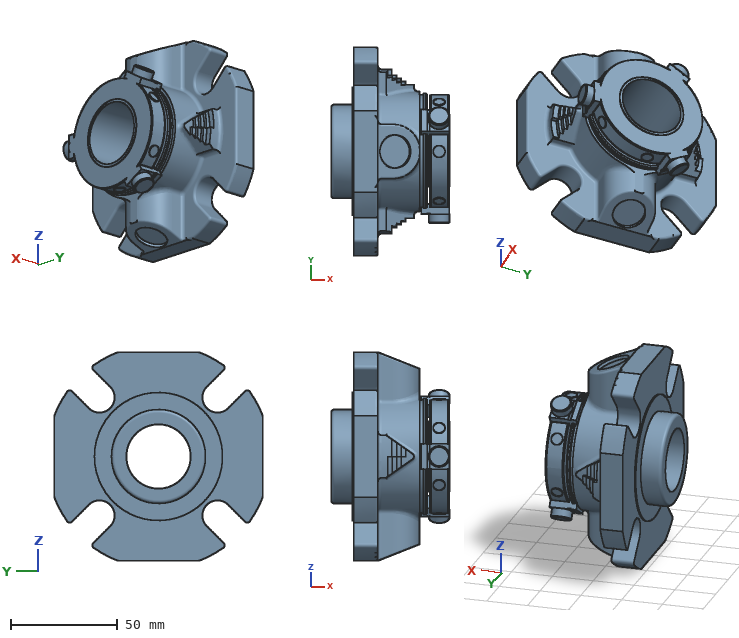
import cadquery as cq
import math


bore_dia = 30.0
sleeve_nose_dia = 44.1
sleeve_nose_round = 1.6
sleeve_groove_dia = 32.4
sleeve_shoulder_dia = 33.2
sleeve_end_dia = 32.8
sleeve_shoulder_x = 45.8
sleeve_end_x = 55.7

register_dia = 60.0
register_x = 10.0
flange_front_x = 10.6
flange_back_x = 22.0
flange_width = 97.8
flange_corner_dia = 105.0
flange_back_round = 1.2
slot_count = 4
slot_width = 14.1
slot_pitch_radius = 39.1
slot_tip_round = 1.5

body_dia = 56.3
body_end_x = 41.6
body_root_round = 1.8
boss_pair = 2

boss_width = 25.4
boss_arc_x = 29.0
boss_end_height = 41.2
boss_root_round = 2.7
boss_edge_round = 1.0
boss_foot_margin = 0.6
boss_foot_flare = 1.8
port_dia = 15.5
port_depth = 1.7
port_x = 30.1

arrow_half_width = 10.0
arrow_shoulder_x = 25.8
arrow_slope = 35.0
arrow_tip_round = 1.6
arrow_root_round = 1.9
arrow_crest_radius = 38.5
first_riser_x = 28.6
riser_pitch = 2.2
riser_count = 4
first_drop = 2.7
next_drop = 1.5
riser_shift = 2.1

spigot_dia = 53.2
ring_dia = 54.7
ring_edge_dia = 53.8
ring_front_x = 43.2
ring_back_x = 45.0
ring_front_bevel = 0.3
ring_back_bevel = 0.6

collar_dia = 53.2
collar_front_x = 46.4
collar_back_x = 55.4
collar_bevel_length = 0.7
collar_bevel_depth = 0.3
screw_count = 6
screw_dia = 5.6
screw_x = 50.7
screw_face_radius = 27.0

clip_count = 3
clip_front_x = 42.2
clip_width = 11.7
clip_inner_radius = 26.0
clip_outer_radius = 29.3
clip_groove_x = 45.1
clip_groove_depth = 0.4
clip_leg_radius = 24.5
clip_head_dia = 9.9
clip_head_radius = 33.5
clip_head_bevel = 0.5

half_width = flange_width / 2
body_start_x = flange_front_x + 1
boss_fall = (half_width - boss_end_height) / (body_end_x - flange_back_x)

tolerance = 0.01


def turned(points):
    """Solid of revolution about X from (x, diameter) points, closed along the axis."""
    profile = [(x, dia / 2) for x, dia in points]
    profile = [(profile[0][0], 0)] + profile + [(profile[-1][0], 0)]
    return cq.Workplane("XY").polyline(profile).close().revolve(360, (0, 0, 0), (1, 0, 0))


def around_axis(solid, count, start=0.0):
    """Copies of a solid spaced evenly about the X axis, joined together."""
    copies = cq.Workplane("XY")
    for index in range(count):
        angle = start + 360.0 * index / count
        copies = copies.add(solid.rotate((0, 0, 0), (1, 0, 0), angle))
    return copies.combine()


def block(x_range, y_range, width):
    """Box between two X and two Y positions, centred on Z = 0."""
    size_x = x_range[1] - x_range[0]
    size_y = y_range[1] - y_range[0]
    box = cq.Workplane("XY").box(size_x, size_y, width, centered=(False, False, True))
    return box.translate((x_range[0], y_range[0], 0))


def is_slot_tip(edge):
    """True for a sharp corner where a bolt slot opens through the round corner of the flange."""
    middle = edge.Center()
    on_corner = abs(math.hypot(middle.y, middle.z) - flange_corner_dia / 2) < tolerance
    return on_corner and max(abs(middle.y), abs(middle.z)) < half_width - tolerance


def flange():
    """Square plate with rounded corners, each opened by a U-shaped bolt slot."""
    thickness = flange_back_x - flange_front_x
    at_front = cq.Workplane("YZ").workplane(offset=flange_front_x)
    plate = at_front.rect(flange_width, flange_width).extrude(thickness)
    plate = plate.intersect(at_front.circle(flange_corner_dia / 2).extrude(thickness))
    slot = (
        at_front.center(slot_pitch_radius, 0).circle(slot_width / 2).extrude(thickness)
        .union(at_front.center(slot_pitch_radius + half_width / 2, 0)
               .rect(half_width, slot_width).extrude(thickness))
    )
    plate = plate.cut(around_axis(slot, slot_count, 180.0 / slot_count))
    return plate.edges("|X").filter(is_slot_tip).fillet(slot_tip_round)


def slope_height(x):
    """Height of the sloping top face of the +Z port boss at a place along X."""
    return half_width - boss_fall * (x - flange_back_x)


def port_boss():
    """U-shaped boss on +Z with a sloping top face, running past both body ends."""
    half = boss_width / 2
    past_end_x = boss_arc_x + boss_width
    plan = (
        cq.Workplane("XY")
        .moveTo(body_start_x, -half)
        .lineTo(boss_arc_x, -half)
        .threePointArc((boss_arc_x + half, 0), (boss_arc_x, half))
        .lineTo(body_start_x, half)
        .close()
        .extrude(flange_width)
    )
    under_slope = (
        cq.Workplane("XZ")
        .polyline([
            (body_start_x, 0),
            (body_start_x, slope_height(body_start_x)),
            (past_end_x, slope_height(past_end_x)),
            (past_end_x, 0),
        ])
        .close()
        .extrude(boss_width, both=True)
    )
    return plan.intersect(under_slope)


def port_hole():
    """Shallow round recess square to the sloping face of the +Z boss."""
    tilt = math.degrees(math.atan(boss_fall))
    drill = cq.Workplane("XY").circle(port_dia / 2).extrude(port_depth, both=True)
    drill = drill.rotate((0, 0, 0), (0, 1, 0), tilt)
    return drill.translate((port_x, 0, slope_height(port_x)))


def stepped_dome(shift):
    """Turned solid with stepped rings, its risers moved towards the plate by the shift."""
    radius = arrow_crest_radius
    points = [(body_start_x, 2 * radius)]
    for index in range(riser_count):
        x = first_riser_x - shift + index * riser_pitch
        points.append((x, 2 * radius))
        radius -= first_drop if index == 0 else next_drop
        points.append((x, 2 * radius))
    points.append((body_end_x, 2 * radius))
    return turned(points)


def arrow_boss():
    """Arrowhead boss on -Y, with its two halves stepped out of phase."""
    tip_x = arrow_shoulder_x + arrow_half_width / math.tan(math.radians(arrow_slope))
    head = (
        cq.Workplane("XZ")
        .polyline([
            (body_start_x, -arrow_half_width),
            (arrow_shoulder_x, -arrow_half_width),
            (tip_x, 0),
            (arrow_shoulder_x, arrow_half_width),
            (body_start_x, arrow_half_width),
        ])
        .close()
        .extrude(half_width)
        .edges("|Y and >X")
        .fillet(arrow_tip_round)
    )
    one_side = block((0, sleeve_end_x), (-half_width, half_width), half_width)
    above = one_side.translate((0, 0, half_width / 2))
    below = one_side.translate((0, 0, -half_width / 2))
    upper = head.intersect(above).intersect(stepped_dome(0))
    lower = head.intersect(below).intersect(stepped_dome(riser_shift))
    return upper.union(lower)


def is_on_body(edge):
    """True for an edge that runs along the body cylinder."""
    points = [edge.positionAt(0.3), edge.positionAt(0.7)]
    on_surface = all(abs(math.hypot(p.y, p.z) - body_dia / 2) < tolerance for p in points)
    return on_surface and edge.BoundingBox().xlen > tolerance


def is_on_arrow_root(edge):
    """True for an edge where an arrowhead boss meets the body cylinder."""
    middle = edge.positionAt(0.5)
    return is_on_body(edge) and abs(middle.z) < arrow_half_width + tolerance


def is_on_flange_back(edge):
    """True for an edge in the plane of the flange back face."""
    return all(abs(edge.positionAt(t).x - flange_back_x) < tolerance for t in (0, 0.4, 1))


def is_on_boss_side(edge):
    """True for an edge along either side of a sloping boss top, but not across its ends."""
    points = [edge.positionAt(t) for t in (0, 0.3, 0.7, 1)]
    on_top = all(abs(abs(p.z) - slope_height(p.x)) < tolerance for p in points)
    return on_top and abs(points[0].x - points[-1].x) > tolerance


def gland_body():
    """Cylinder with its port and arrowhead bosses, cut square at both ends."""
    body = turned([(body_start_x, body_dia), (body_end_x + boss_width / 2, body_dia)])
    body = body.union(around_axis(port_boss(), boss_pair))
    body = body.edges().filter(is_on_body).fillet(boss_root_round)
    body = body.intersect(block((body_start_x, body_end_x), (-half_width, half_width), flange_width))
    body = body.union(around_axis(arrow_boss(), boss_pair))
    return body.edges().filter(is_on_arrow_root).fillet(arrow_root_round)


def boss_foot():
    """Pad that keeps the flange back edge square under the +Z boss and fades out on both sides."""
    front_x = flange_back_x - flange_back_round
    inner = boss_width / 2 + body_root_round + boss_foot_margin
    outer = inner + boss_foot_flare
    return (
        cq.Workplane("XY")
        .workplane(offset=half_width - flange_back_round)
        .polyline([
            (flange_front_x, -outer),
            (front_x, -outer),
            (flange_back_x, -inner),
            (flange_back_x, inner),
            (front_x, outer),
            (flange_front_x, outer),
        ])
        .close()
        .extrude(flange_back_round)
    )


def gland():
    """Flange and body joined, with their rounds, and the port recesses cut."""
    plate = flange()
    plate = plate.edges().filter(is_on_flange_back).fillet(flange_back_round)
    plate = plate.union(around_axis(boss_foot(), boss_pair))

    body = gland_body()
    body_solid = body.solids().val()

    def is_on_body_root(edge):
        middle = edge.positionAt(0.5)
        is_flush = abs(middle.z) > half_width - tolerance
        return is_on_flange_back(edge) and not is_flush and body_solid.isInside(middle, tolerance)

    solid = plate.union(body)
    solid = solid.edges().filter(is_on_body_root).fillet(body_root_round)
    solid = solid.edges().filter(is_on_boss_side).fillet(boss_edge_round)
    return solid.cut(around_axis(port_hole(), boss_pair))


def sleeve():
    """Shaft sleeve with its rounded nose, and the register behind it."""
    nose = turned([(0, sleeve_nose_dia), (flange_back_x, sleeve_nose_dia)])
    nose = nose.faces("<X").edges().fillet(sleeve_nose_round)
    register = turned([(register_x, register_dia), (flange_back_x, register_dia)])
    tail = turned([
        (flange_back_x, sleeve_groove_dia),
        (sleeve_shoulder_x, sleeve_groove_dia),
        (sleeve_shoulder_x, sleeve_shoulder_dia),
        (collar_front_x, sleeve_shoulder_dia),
        (collar_front_x, sleeve_end_dia),
        (sleeve_end_x, sleeve_end_dia),
    ])
    return nose.union(register).union(tail)


def retaining_ring():
    """Short spigot on the body end with the bevelled retaining ring on it."""
    return turned([
        (flange_back_x, spigot_dia),
        (ring_front_x, spigot_dia),
        (ring_front_x, ring_edge_dia),
        (ring_front_x + ring_front_bevel, ring_dia),
        (ring_back_x - ring_back_bevel, ring_dia),
        (ring_back_x - ring_back_bevel / 2, ring_edge_dia),
        (ring_back_x, spigot_dia),
    ])


def drive_collar():
    """Collar with bevelled rims and the ends of its set screws standing proud."""
    rim_dia = collar_dia - 2 * collar_bevel_depth
    collar = turned([
        (collar_front_x, rim_dia),
        (collar_front_x + collar_bevel_length, collar_dia),
        (collar_back_x - collar_bevel_length, collar_dia),
        (collar_back_x, rim_dia),
    ])
    screw = cq.Workplane("XY").center(screw_x, 0).circle(screw_dia / 2).extrude(screw_face_radius)
    return collar.union(around_axis(screw, screw_count))


def setting_clip():
    """Clip on -Y: a plate with a cross groove, a leg into the gap and a round screw head."""
    plate = block((clip_front_x, collar_back_x), (-clip_outer_radius, -clip_inner_radius), clip_width)
    leg = block((ring_back_x, collar_front_x), (-clip_outer_radius, -clip_leg_radius), clip_width)
    groove = block(
        (clip_groove_x, collar_front_x),
        (-clip_head_radius, clip_groove_depth - clip_outer_radius),
        2 * clip_width,
    )
    head = (
        cq.Workplane("XZ")
        .workplane(offset=clip_inner_radius)
        .center(screw_x, 0)
        .circle(clip_head_dia / 2)
        .extrude(clip_head_radius - clip_inner_radius)
        .faces("<Y")
        .edges()
        .chamfer(clip_head_bevel)
    )
    head = head.cut(block((clip_front_x, sleeve_end_x), (-clip_outer_radius, 0), clip_width))
    return plate.union(leg).cut(groove).union(head)


bore = turned([(0, bore_dia), (sleeve_end_x, bore_dia)])

result = (
    gland()
    .union(sleeve())
    .union(retaining_ring())
    .union(drive_collar())
    .union(around_axis(setting_clip(), clip_count))
    .cut(bore)
)